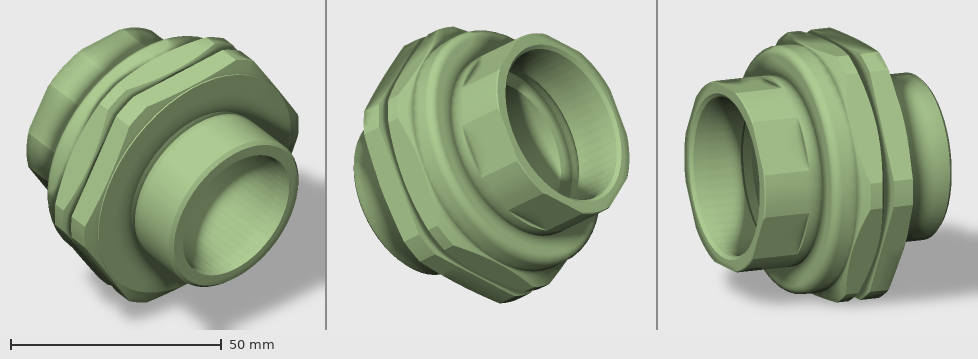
import cadquery as cq
import math

total_length = 50.6

hex_sides = 6
hex_across_flats = 60.0
hex_across_corners = 66.0
body_hex_start = 21.05
body_hex_end = 28.05
body_hex_bevel_angle = 30.0
nut_start = 29.1
nut_end = 35.3
nut_bevel_angle = 15.0
nut_face_ring = 0.3
bevel_small_radius = 29.6

hub_radius = 22.9
hub_edge_bevel = 0.25
hub_flat_distance = 21.9
hub_flat_length = 11.9

flange_start = 15.05
flange_radius = 29.7
flange_round = 2.0

spacer_radius = 25.9

spigot_start = 37.1
spigot_radius = 20.0
spigot_end_bevel = 0.85
relief_radius = 19.0
relief_floor_end = spigot_start - (spigot_radius - relief_radius)
relief_floor_start = 35.95

socket_radius = 19.1
socket_edge_bevel = 0.8
socket_depth = 13.2
undercut_radius = 20.2
undercut_end = 16.5
bore_radius = 16.35


def cylinder(radius, start, end):
    """Solid cylinder along X from start to end."""
    return cq.Workplane("YZ", origin=(start, 0, 0)).circle(radius).extrude(end - start)


def hexagon(across_flats, start, end):
    """Hexagonal bar along X with two flats facing up and down."""
    across_points = across_flats / math.cos(math.pi / hex_sides)
    return cq.Workplane("YZ", origin=(start, 0, 0)).polygon(hex_sides, across_points).extrude(end - start)


def turned(outline):
    """Revolve an (x, radius) outline, closed along the axis, about X."""
    first_x = outline[0][0]
    last_x = outline[-1][0]
    points = [(first_x, 0), *outline, (last_x, 0)]
    return cq.Workplane("XY").polyline(points).close().revolve(360, (0, 0, 0), (1, 0, 0))


def make_hub():
    hub = cylinder(hub_radius, 0, flange_start).faces("<X").chamfer(hub_edge_bevel)
    flats = hexagon(2 * hub_flat_distance, 0, hub_flat_length)
    plain_end = cylinder(hub_radius, hub_flat_length, flange_start)
    return hub.intersect(flats.union(plain_end))


def make_flange():
    flange = cylinder(flange_radius, flange_start, body_hex_start)
    return flange.faces("<X").edges().fillet(flange_round)


def make_body_hex():
    corner_radius = hex_across_corners / 2
    bevel = (corner_radius - bevel_small_radius) * math.tan(math.radians(body_hex_bevel_angle))
    envelope = turned([
        (body_hex_start, bevel_small_radius),
        (body_hex_start + bevel, corner_radius),
        (body_hex_end - bevel, corner_radius),
        (body_hex_end, bevel_small_radius),
    ])
    return hexagon(hex_across_flats, body_hex_start, body_hex_end).intersect(envelope)


def make_nut():
    corner_radius = hex_across_corners / 2
    bevel = (corner_radius - bevel_small_radius) * math.tan(math.radians(nut_bevel_angle))
    ring_start = nut_end - nut_face_ring
    envelope = turned([
        (nut_start, corner_radius),
        (ring_start - bevel, corner_radius),
        (ring_start, bevel_small_radius),
        (nut_end, bevel_small_radius),
    ])
    return hexagon(hex_across_flats, nut_start, nut_end).intersect(envelope)


def make_spigot():
    return turned([
        (nut_end, relief_radius + relief_floor_start - nut_end),
        (relief_floor_start, relief_radius),
        (relief_floor_end, relief_radius),
        (spigot_start, spigot_radius),
        (total_length - spigot_end_bevel, spigot_radius),
        (total_length, spigot_radius - spigot_end_bevel),
    ])


def make_cavity():
    return turned([
        (0, socket_radius + socket_edge_bevel),
        (socket_edge_bevel, socket_radius),
        (socket_depth, socket_radius),
        (socket_depth + undercut_radius - socket_radius, undercut_radius),
        (undercut_end, undercut_radius),
        (undercut_end, bore_radius),
        (total_length, bore_radius),
    ])


body = make_hub().union(make_flange()).union(make_body_hex())
body = body.union(cylinder(spacer_radius, body_hex_end, nut_start))
body = body.union(make_nut()).union(make_spigot())
result = body.cut(make_cavity())